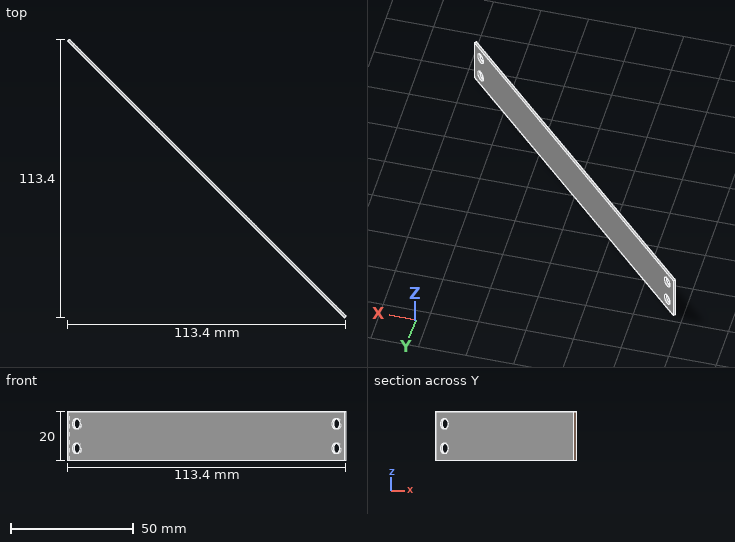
import cadquery as cq
import math

side = 113.4
height = 20.0
thickness = 1.0
length = side * math.sqrt(2) - thickness
diagonal_angle = -45.0

hole_diameter = 4.3
hole_end_distance = 5.0
hole_spacing_z = height / 2
hole_spacing_length = length - 2 * hole_end_distance

strip = cq.Workplane("XY").box(length, thickness, height)

strip = (
    strip.faces("<Y")
    .workplane(centerOption="CenterOfBoundBox")
    .rarray(hole_spacing_length, hole_spacing_z, 2, 2)
    .hole(hole_diameter)
)

result = strip.rotate((0, 0, 0), (0, 0, 1), diagonal_angle)